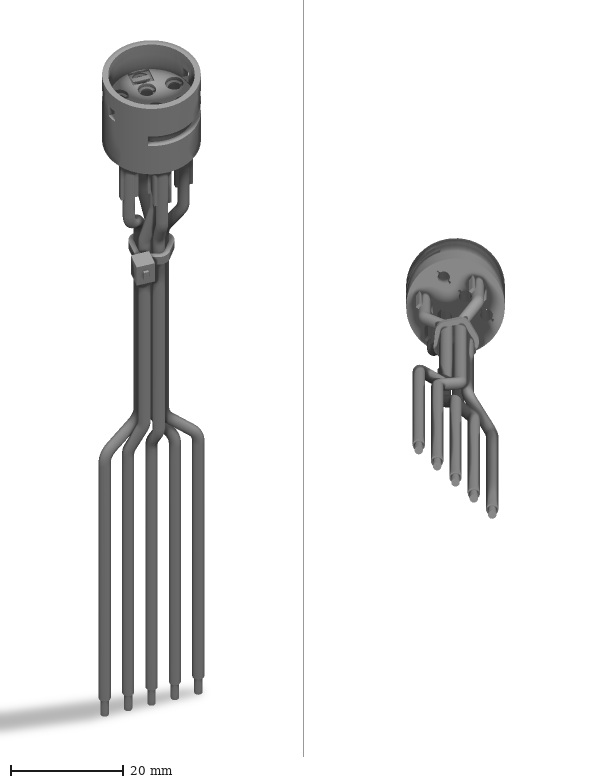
import cadquery as cq
import math

TOP_Z = 156.0
OVERALL_Y = 19.8
SHELL_HEIGHT = 16.2
SHELL_BOTTOM_Z = TOP_Z - SHELL_HEIGHT

SHELL_DIAMETER = 17.6
BORE_DIAMETER = 15.5
FLOOR_DEPTH = 6.1
FLOOR_Z = TOP_Z - FLOOR_DEPTH

CONTACT_PITCH = 5.1
CONTACT_X = CONTACT_PITCH / 2
CONTACT_Y = CONTACT_PITCH
BLADE_X = 6.0
COUNTERBORE_DIAMETER = 3.3
COUNTERBORE_DEPTH = 0.8
CONTACT_DEPTH = 1.5
CONTACT_SLOT_WIDTH = 0.5
BLADE_POCKET_X = 3.1
BLADE_POCKET_Y = 4.0
BLADE_POCKET_DEPTH = 0.5

WINDOW_WIDTH = 1.9
WINDOW_HEIGHT = 2.5
WINDOW_Z = 151.3

SLOT_BOTTOM_Z = 146.8
SLOT_HEIGHT = 2.3
SLOT_START_ANGLE = -23.0
SLOT_END_ANGLE = 120.0

WIRE_DIAMETER = 2.2
CONDUCTOR_DIAMETER = 1.5
STRIPPED_LENGTH = 4.0
TERMINAL_BOTTOM_Z = 129.6
TERMINAL_THICKNESS = 1.0
TERMINAL_WIDTH = 3.3
TERMINAL_TOP_GAP = 0.3
BEND_RADIUS = 4.4

WIRE_COUNT = 5
BUNDLE_RADIUS = 2.2

FAN_PITCH = (OVERALL_Y - WIRE_DIAMETER) / (WIRE_COUNT - 1)

TIE_Z = 113.4
TIE_WIDTH = 1.9
TIE_THICKNESS = 1.0
TIE_TAIL_X = 7.0
HEAD_START_X = 3.3
HEAD_END_X = 6.5
HEAD_FRONT_Y = -5.0
HEAD_BACK_Y = -1.5
HEAD_HEIGHT = 4.5
HEAD_WALL = 0.6
HEAD_RECESS_DEPTH = 1.2

WIRES = [
    ((-BLADE_X, 0), 1, 1, (125.3, 116.2), (71.8, 63.2)),
    ((BLADE_X, 0), 4, 0, (125.3, 116.2), (70.2, 64.0)),
    ((CONTACT_X, CONTACT_Y), 0, 2, (125.3, 116.2), (72.7, 62.4)),
    ((CONTACT_X, 0), 3, -1, (126.2, 116.2), (71.8, 63.2)),
    ((CONTACT_X, -CONTACT_Y), 2, -2, (125.3, 117.2), (72.7, 62.4)),
]
EMPTY_CONTACTS = [(-CONTACT_X, y) for y in (-CONTACT_Y, 0, CONTACT_Y)]


def cylinder(center, diameter, bottom, top):
    return cq.Workplane("XY", origin=(*center, bottom)).circle(diameter / 2).extrude(top - bottom)


def box(x_range, y_range, z_range):
    sizes = [high - low for low, high in (x_range, y_range, z_range)]
    corner = (x_range[0], y_range[0], z_range[0])
    return cq.Workplane("XY").box(*sizes, centered=False).translate(corner)


def fin(center, thickness, bottom, top):
    """Upright plate across the Y width of a terminal."""
    outline = cq.Workplane("XY", origin=(*center, bottom)).rect(thickness, TERMINAL_WIDTH)
    return outline.extrude(top - bottom)


def contact_hole(center, bottom):
    """Counterbored hole with a narrow slot across it."""
    bore = cylinder(center, WIRE_DIAMETER, bottom, FLOOR_Z)
    slot = fin(center, CONTACT_SLOT_WIDTH, bottom, FLOOR_Z)
    counterbore = cylinder(center, COUNTERBORE_DIAMETER, FLOOR_Z - COUNTERBORE_DEPTH, FLOOR_Z)
    return bore.union(slot).union(counterbore)


def pentagon_corner(index):
    angle = math.pi / 2 + index * 2 * math.pi / WIRE_COUNT
    return BUNDLE_RADIUS * math.cos(angle), BUNDLE_RADIUS * math.sin(angle)


def s_bend(start, end, start_z, end_z, radius):
    """Wire that leaves start straight down, bends sideways and arrives at end straight down."""
    dx = end[0] - start[0]
    dy = end[1] - start[1]
    shift = math.hypot(dx, dy)
    drop = start_z - end_z
    straight = math.sqrt(shift**2 + drop**2 - 4 * radius * shift)
    angle = math.atan2(
        straight * (shift - 2 * radius) + 2 * radius * drop,
        straight * drop - 2 * radius * (shift - 2 * radius),
    )

    def on_bend(turn):
        return radius * (1 - math.cos(turn)), -radius * math.sin(turn)

    def on_second_bend(turn):
        across, down = on_bend(turn)
        return shift - across, -drop - down

    plane = cq.Plane(origin=(*start, start_z), xDir=(dx, dy, 0), normal=(dy, -dx, 0))
    path = (
        cq.Workplane(plane)
        .moveTo(0, 0)
        .threePointArc(on_bend(angle / 2), on_bend(angle))
        .lineTo(*on_second_bend(angle))
        .threePointArc(on_second_bend(angle / 2), on_second_bend(0))
    )
    return cq.Workplane("XY", origin=(*start, start_z)).circle(WIRE_DIAMETER / 2).sweep(path)


def make_wire(contact, corner_index, fan_place, upper_bend, fan_bend):
    corner = pentagon_corner(corner_index)
    tail = (0, fan_place * FAN_PITCH)
    pieces = [
        fin(contact, TERMINAL_THICKNESS, TERMINAL_BOTTOM_Z, FLOOR_Z - TERMINAL_TOP_GAP),
        cylinder(contact, WIRE_DIAMETER, upper_bend[0], FLOOR_Z - CONTACT_DEPTH),
        s_bend(contact, corner, *upper_bend, BEND_RADIUS),
        cylinder(corner, WIRE_DIAMETER, fan_bend[0], upper_bend[1]),
        s_bend(corner, tail, *fan_bend, BEND_RADIUS),
        cylinder(tail, WIRE_DIAMETER, STRIPPED_LENGTH, fan_bend[1]),
        cylinder(tail, CONDUCTOR_DIAMETER, 0, STRIPPED_LENGTH),
    ]
    wire = pieces[0]
    for piece in pieces[1:]:
        wire = wire.union(piece)
    return wire


def make_connector():
    body = cylinder((0, 0), SHELL_DIAMETER, SHELL_BOTTOM_Z, TOP_Z)
    body = body.cut(cylinder((0, 0), BORE_DIAMETER, FLOOR_Z, TOP_Z))
    windows = (
        cq.Workplane("XZ", origin=(0, 0, WINDOW_Z))
        .pushPoints([(-CONTACT_X, 0), (CONTACT_X, 0)])
        .rect(WINDOW_WIDTH, WINDOW_HEIGHT)
        .extrude(SHELL_DIAMETER, both=True)
    )
    body = body.cut(windows)
    slot = (
        cq.Workplane("XZ", origin=(0, 0, SLOT_BOTTOM_Z))
        .moveTo(BORE_DIAMETER / 2, 0)
        .rect(SHELL_DIAMETER - BORE_DIAMETER, SLOT_HEIGHT, centered=False)
        .revolve(SLOT_END_ANGLE - SLOT_START_ANGLE, (0, 0, 0), (0, -1, 0))
        .rotate((0, 0, 0), (0, 0, 1), SLOT_END_ANGLE)
    )
    body = body.cut(slot)
    pockets = (
        cq.Workplane("XY", origin=(0, 0, FLOOR_Z - BLADE_POCKET_DEPTH))
        .pushPoints([(-BLADE_X, 0), (BLADE_X, 0)])
        .rect(BLADE_POCKET_X, BLADE_POCKET_Y)
        .extrude(BLADE_POCKET_DEPTH)
    )
    body = body.cut(pockets)
    for center in EMPTY_CONTACTS:
        body = body.cut(contact_hole(center, SHELL_BOTTOM_Z))
    for contact, *_ in WIRES:
        body = body.cut(contact_hole(contact, FLOOR_Z - CONTACT_DEPTH))
    return body


def make_cable_tie():
    """Strap stretched tightly round the bundle, with its tail through a block-shaped head."""
    inner_radius = WIRE_DIAMETER / 2
    bottom = TIE_Z - TIE_WIDTH / 2
    top = TIE_Z + TIE_WIDTH / 2
    corners = [pentagon_corner(index) for index in range(WIRE_COUNT)]
    loop = (
        cq.Workplane("XY", origin=(0, 0, bottom))
        .polyline(corners)
        .close()
        .offset2D(inner_radius + TIE_THICKNESS)
        .extrude(TIE_WIDTH)
    )
    hollow = (
        cq.Workplane("XY", origin=(0, 0, bottom))
        .polyline(corners)
        .close()
        .offset2D(inner_radius)
        .extrude(TIE_WIDTH)
    )
    strap_back_y = min(y for x, y in corners) - inner_radius
    strap_y = (strap_back_y - TIE_THICKNESS, strap_back_y)
    tail = box((0, TIE_TAIL_X), strap_y, (bottom, top))
    head = box(
        (HEAD_START_X, HEAD_END_X),
        (HEAD_FRONT_Y, HEAD_BACK_Y),
        (TIE_Z - HEAD_HEIGHT / 2, TIE_Z + HEAD_HEIGHT / 2),
    )
    recess = box(
        (HEAD_START_X, HEAD_START_X + HEAD_RECESS_DEPTH),
        (HEAD_FRONT_Y + HEAD_WALL, HEAD_BACK_Y - HEAD_WALL),
        (TIE_Z - HEAD_HEIGHT / 2 + HEAD_WALL, TIE_Z + HEAD_HEIGHT / 2 - HEAD_WALL),
    )
    return loop.cut(hollow).union(head.cut(recess)).union(tail)


result = make_connector().union(make_cable_tie())
for wire in WIRES:
    result = result.union(make_wire(*wire))